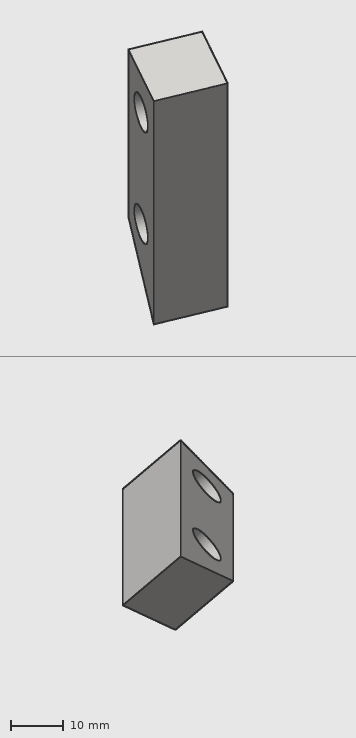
import cadquery as cq

length = 60.0
side = 15.0
hole_diameter = 8.0
hole_top_offset = 9.95
hole_spacing = 30.0

bar = (
    cq.Workplane("XZ")
    .moveTo(side, 0)
    .lineTo(side, length)
    .lineTo(0, length)
    .lineTo(0, side)
    .close()
    .extrude(-side)
)

upper_hole_z = length - hole_top_offset
lower_hole_z = upper_hole_z - hole_spacing
holes = (
    cq.Workplane("XZ")
    .pushPoints([(side / 2, upper_hole_z), (side / 2, lower_hole_z)])
    .circle(hole_diameter / 2)
    .extrude(-side)
)

result = bar.cut(holes)